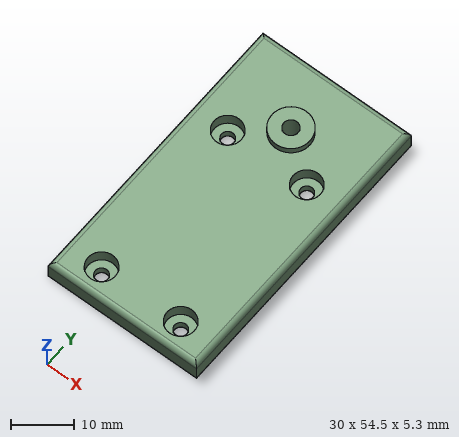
import cadquery as cq

width = 30.0
length = 54.5
total_height = 5.3
boss_height = 1.3
plate_thickness = total_height - boss_height
edge_radius = 1.0

boss_diameter = 7.7
boss_hole_diameter = 2.9
boss_y = 15.55

screw_spacing_x = 16.0
screw_spacing_y = 32.0
screw_pattern_y = -6.5
screw_hole_diameter = 2.5
counterbore_diameter = 5.5
counterbore_depth = 2.5


def rounded_plate():
    """Plate with its bottom on Z = 0 and its top edges rounded."""
    plate = cq.Workplane("XY").box(width, length, plate_thickness, centered=(True, True, False))
    return plate.faces(">Z").edges().fillet(edge_radius)


def add_boss(body):
    """Add the round boss and drill it through the plate."""
    boss = cq.Workplane("XY").center(0, boss_y).circle(boss_diameter / 2).extrude(total_height)
    hole = cq.Workplane("XY").center(0, boss_y).circle(boss_hole_diameter / 2).extrude(total_height)
    return body.union(boss).cut(hole)


def cut_screw_holes(body):
    """Cut the four counterbored holes from the top of the plate."""
    return (
        body.cut(screw_cylinders(screw_hole_diameter, plate_thickness))
        .cut(screw_cylinders(counterbore_diameter, counterbore_depth))
    )


def screw_cylinders(diameter, depth):
    """Cylinders at the screw positions, reaching down from the plate top."""
    return (
        cq.Workplane("XY", origin=(0, screw_pattern_y, plate_thickness))
        .rarray(screw_spacing_x, screw_spacing_y, 2, 2)
        .circle(diameter / 2)
        .extrude(-depth)
    )


result = cut_screw_holes(add_boss(rounded_plate()))